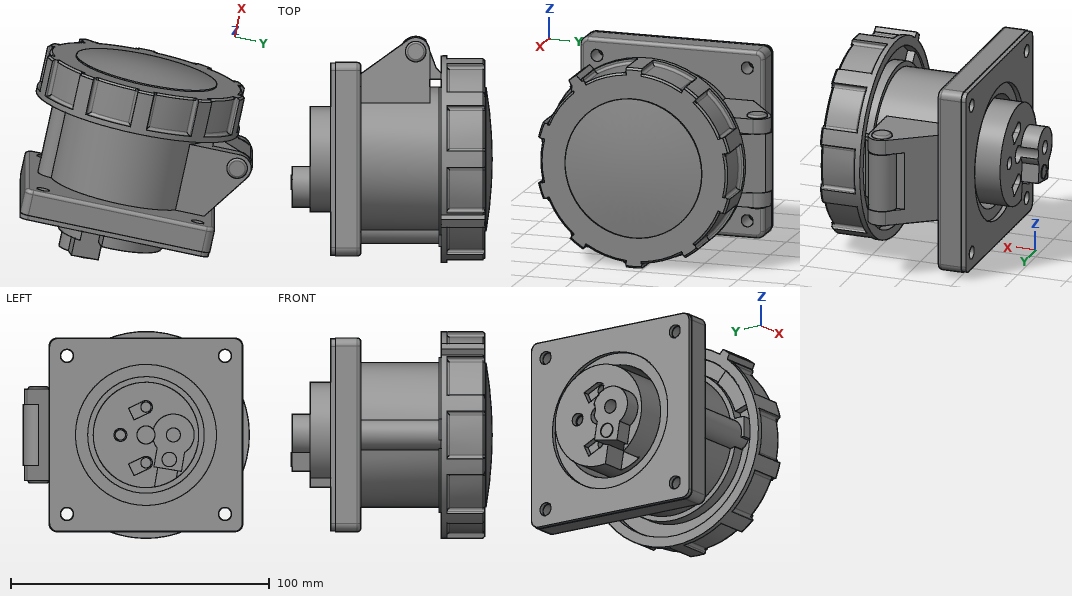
import cadquery as cq
import math


gasket_side = 74.3
gasket_thickness = 1.8
gasket_corner_radius = 3.0
gasket_opening_diameter = 54.5
gasket_hole_diameter = 5.2

flange_side = 74.9
flange_corner_radius = 3.15
flange_front_x = 11.7
flange_edge_radius = 1.5
screw_offset = 30.5
screw_hole_diameter = 4.8

barrel_radius = 28.0
barrel_end_x = 56.0
bore_diameter = 45.0
bore_floor_x = 41.8
collar_x = 41.8
collar_radius = 30.0
collar_notch_z = (-5.3, -2.0)
key_diameter = 11.7
key_reach = 32.6
stop_reach = 33.8
stop_top_z = 6.1

pin_x = 32.9
pin_y = 41.5
pin_diameter = 8.0
pin_head_height = 1.0
pin_edge_radius = 0.9
bracket_half_width = 17.7
bracket_end_radius = 5.4
bracket_slope_start_y = 33.1
knuckle_radius = 5.95
knuckle_half_width = 11.7
knuckle_end_angle = 50.0
arm_bottom_y = 30.8
arm_bend = (40.8, 35.3)
arm_root = (42.7, 33.2)

cap_start_x = 42.7
cap_end_x = 59.6
cap_radius = 40.0
cap_edge_chamfer = 0.8
cap_recess_radius = 36.0
cap_floor_x = 46.7
dome_radius = 55.5 / 2
dome_rim_height = 0.5
dome_top_x = 62.45
grip_count = 10
grip_start_x = 44.9
grip_depth = 2.0
grip_fillet = 1.1
grip_angle = 26.8
lug_start_x = 43.5
lug_start_angle = 18.5
lug_end_angle = 48.0
fin_angle = 54.0
fin_tip_radius = 42.2
fin_tip_width = 3.7
fin_base_width = 5.25

insert_diameter = 40.8
insert_back_x = -7.9
centre_hole_diameter = 7.0
contact_hole_diameter = 4.0
contact_slot_width = 5.0
contact_slot_depth = 2.6
contact_hole_depth = 13.1
side_contact_y = 9.9
line_contact_z = 10.8
line_slot_length = 6.3
line_slot_angle = 25.5
earth_y = -10.6
earth_boss_radius = 8.05
earth_back_x = -14.9
earth_hole_diameter = 5.4
earth_leg_width = 10.8
earth_leg_length = 13.4
earth_tilt = 9.5
earth_mark_distance = 9.6
earth_mark_diameter = 5.6
earth_mark_height = 0.35
wire_channel_width = 7.8
wire_channel_depth = 10.5


def cylinder(x_start, x_end, radius, y=0.0, z=0.0):
    """Cylinder along X."""
    return cq.Workplane("YZ", origin=(x_start, y, z)).circle(radius).extrude(x_end - x_start)


def box(x_range, y_range, z_range):
    """Box between two limits on each axis."""
    sizes = [high - low for low, high in (x_range, y_range, z_range)]
    corner = (x_range[0], y_range[0], z_range[0])
    return cq.Workplane("XY").box(*sizes, centered=False).translate(corner)


def square_plate(x_start, x_end, side, corner_radius):
    """Square plate across X with rounded corners."""
    plate = cq.Workplane("YZ", origin=(x_start, 0, 0)).rect(side, side).extrude(x_end - x_start)
    return plate.edges("|X").fillet(corner_radius)


def screw_holes(diameter):
    """Four cylinders at the flange corners."""
    spacing = 2 * screw_offset
    plane = cq.Workplane("YZ").rect(spacing, spacing, forConstruction=True).vertices()
    return plane.circle(diameter / 2).extrude(flange_front_x)


def turn_from_minus_y(shape, angle):
    """Turn a shape about the socket axis, from -Y toward +Z."""
    return shape.rotate((0, 0, 0), (1, 0, 0), -angle)


def ring_sector(x_start, x_end, inner_radius, outer_radius, angle):
    """Sector of a ring about X, centred on -Y."""
    profile = cq.Workplane("XY").moveTo(x_start, -outer_radius).lineTo(x_end, -outer_radius)
    profile = profile.lineTo(x_end, -inner_radius).lineTo(x_start, -inner_radius).close()
    sector = profile.revolve(angle, (0, 0, 0), (1, 0, 0))
    return sector.rotate((0, 0, 0), (1, 0, 0), -angle / 2)


def hinge_prism(profile, half_width):
    """Extrude a closed XY profile equally to both sides of z = 0."""
    return profile.extrude(half_width, both=True)


def make_gasket():
    gasket = square_plate(0, gasket_thickness, gasket_side, gasket_corner_radius)
    gasket = gasket.cut(cylinder(0, gasket_thickness, gasket_opening_diameter / 2))
    return gasket.cut(screw_holes(gasket_hole_diameter))


def hinge_arm():
    """Knuckle around the pin and the arm that joins it to the cap."""
    arm_end_x = cap_floor_x + 0.9
    back_x = pin_x - knuckle_radius
    end_angle = math.radians(knuckle_end_angle)
    knuckle_end = (
        pin_x + knuckle_radius * math.cos(end_angle),
        pin_y + knuckle_radius * math.sin(end_angle),
    )
    profile = cq.Workplane("XY").polyline([
        (back_x, pin_y),
        (back_x, arm_bottom_y),
        (arm_end_x, arm_bottom_y),
        (arm_end_x, arm_root[1]),
        arm_root,
        arm_bend,
        knuckle_end,
    ])
    profile = profile.threePointArc((pin_x, pin_y + knuckle_radius), (back_x, pin_y)).close()
    return hinge_prism(profile, knuckle_half_width)


def hinge_pin():
    """Pin along Z with rounded ends."""
    half_length = bracket_half_width + pin_head_height
    pin = hinge_prism(cq.Workplane("XY").center(pin_x, pin_y).circle(pin_diameter / 2), half_length)
    return pin.faces("|Z").edges().fillet(pin_edge_radius)


def hinge_bracket():
    """Sloped block beside the barrel with a pocket for the knuckle and a hole for the pin."""
    run = pin_x - flange_front_x
    rise = pin_y - bracket_slope_start_y
    slope = math.atan2(rise, run) + math.asin(bracket_end_radius / math.hypot(run, rise))
    tangent = (
        pin_x - bracket_end_radius * math.sin(slope),
        pin_y + bracket_end_radius * math.cos(slope),
    )
    end_x = pin_x + bracket_end_radius
    profile = cq.Workplane("XY").moveTo(flange_front_x, 0).lineTo(flange_front_x, bracket_slope_start_y)
    profile = profile.lineTo(*tangent)
    profile = profile.radiusArc((end_x, pin_y), bracket_end_radius).lineTo(end_x, 0).close()
    bracket = hinge_prism(profile, bracket_half_width)
    width = (-knuckle_half_width, knuckle_half_width)
    top_y = pin_y + knuckle_radius
    bracket = bracket.cut(box((flange_front_x, end_x), (pin_y, top_y), width))
    bracket = bracket.cut(box((pin_x - knuckle_radius, end_x), (arm_bottom_y, pin_y), width))
    return bracket.cut(hinge_pin())


def collar():
    """Raised band inside the cap, open under the hinge arm and at a notch over the key, with a stop block."""
    band = cylinder(collar_x, barrel_end_x, collar_radius)
    x_range = (collar_x, barrel_end_x)
    band = band.cut(box(x_range, (0, collar_radius), (-knuckle_half_width, knuckle_half_width)))
    band = band.cut(box(x_range, (-collar_radius, 0), collar_notch_z))
    return band.union(box((collar_x, cap_floor_x), (-stop_reach, 0), (collar_notch_z[1], stop_top_z)))


def make_housing():
    flange = square_plate(gasket_thickness, flange_front_x, flange_side, flange_corner_radius)
    flange = flange.faces(">X").edges().fillet(flange_edge_radius)
    key_radius = key_diameter / 2
    housing = flange.union(collar())
    housing = housing.union(cylinder(gasket_thickness, barrel_end_x, barrel_radius))
    housing = housing.union(cylinder(gasket_thickness, cap_floor_x, key_radius, y=key_radius - key_reach))
    housing = housing.union(hinge_bracket())
    housing = housing.cut(cylinder(gasket_thickness, bore_floor_x, bore_diameter / 2))
    return housing.cut(screw_holes(screw_hole_diameter))


def grip_recess():
    """Cutter for one finger recess, centred on -Y, with rounded floor edges and a sloped end."""
    floor_radius = cap_radius - grip_depth
    outer_radius = cap_radius + grip_depth
    cutter = ring_sector(grip_start_x, cap_end_x, floor_radius, outer_radius, grip_angle)
    cutter = cutter.faces(">Y").edges("not >X").fillet(grip_fillet)
    slope_start = (cap_end_x - cap_edge_chamfer, -floor_radius)
    slope = cq.Workplane("XY").polyline([
        slope_start,
        (cap_end_x, -floor_radius),
        (cap_end_x, cap_edge_chamfer - floor_radius),
    ]).close().revolve(grip_angle, (0, 0, 0), (1, 0, 0)).rotate((0, 0, 0), (1, 0, 0), -grip_angle / 2)
    return cutter.union(slope)


def cap_fin():
    """Tapered rib along the rim."""
    root_radius = cap_radius - grip_depth
    profile = cq.Workplane("YZ", origin=(cap_start_x, 0, 0)).polyline([
        (-root_radius, -fin_base_width / 2),
        (-fin_tip_radius, -fin_tip_width / 2),
        (-fin_tip_radius, fin_tip_width / 2),
        (-root_radius, fin_base_width / 2),
    ]).close()
    return turn_from_minus_y(profile.extrude(cap_end_x - cap_start_x), fin_angle)


def cap_dome():
    """Shallow spherical dome on the end face."""
    rim_x = cap_end_x + dome_rim_height
    profile = cq.Workplane("XY").moveTo(cap_end_x, 0).lineTo(cap_end_x, dome_radius).lineTo(rim_x, dome_radius)
    rise = dome_top_x - rim_x
    sphere_radius = (dome_radius**2 + rise**2) / (2 * rise)
    profile = profile.radiusArc((dome_top_x, 0), sphere_radius).close()
    return profile.revolve(360, (0, 0, 0), (1, 0, 0))


def cap_lug():
    """Bayonet lug that fills part of the recess around the collar."""
    angle = lug_end_angle - lug_start_angle
    lug = ring_sector(lug_start_x, cap_floor_x, collar_radius, cap_recess_radius, angle)
    return turn_from_minus_y(lug, lug_start_angle + angle / 2)


def make_cap():
    """Cap with its hinge arm and pin."""
    cap = cylinder(cap_start_x, cap_end_x, cap_radius).faces(">X").edges().chamfer(cap_edge_chamfer)
    for index in range(grip_count):
        cap = cap.cut(turn_from_minus_y(grip_recess(), index * 360 / grip_count))
    cap = cap.union(cap_fin()).union(cap_dome())
    cap = cap.cut(cylinder(cap_start_x, cap_floor_x, cap_recess_radius))
    cap = cap.cut(cylinder(cap_start_x, barrel_end_x, collar_radius))
    return cap.union(cap_lug()).union(hinge_arm()).union(hinge_pin())


def contact_hole(y, z, slot_length):
    """Contact hole with a wider mouth, drawn out into a slot when slot_length is not zero."""
    mouth_end_x = insert_back_x + contact_slot_depth
    hole = cylinder(insert_back_x, insert_back_x + contact_hole_depth, contact_hole_diameter / 2, y, z)
    hole = hole.union(cylinder(insert_back_x, mouth_end_x, contact_slot_width / 2, y, z))
    if slot_length:
        half_width = contact_slot_width / 2
        slot = box((insert_back_x, mouth_end_x), (0, slot_length), (-half_width, half_width))
        slot = slot.rotate((0, 0, 0), (1, 0, 0), -line_slot_angle)
        hole = hole.union(slot.translate((0, y, z)))
    return hole


def along_earth_leg(shape):
    """Turn a shape that points to -Z into the direction of the earth terminal and move it there."""
    return shape.rotate((0, 0, 0), (1, 0, 0), earth_tilt).translate((0, earth_y, 0))


def earth_terminal():
    """Raised boss with a tilted leg and a round mark on it."""
    half_width = earth_leg_width / 2
    leg = box((earth_back_x, insert_back_x), (-half_width, half_width), (-earth_leg_length, 0))
    mark_back_x = earth_back_x - earth_mark_height
    mark = cylinder(mark_back_x, earth_back_x, earth_mark_diameter / 2, z=-earth_mark_distance)
    boss = cylinder(earth_back_x, insert_back_x, earth_boss_radius, y=earth_y)
    return boss.union(along_earth_leg(leg)).union(along_earth_leg(mark))


def wire_channel():
    """Open channel from the end of the earth leg to the side of the insert."""
    half_width = wire_channel_width / 2
    x_range = (insert_back_x, insert_back_x + wire_channel_depth)
    return along_earth_leg(box(x_range, (-half_width, half_width), (-insert_diameter, -earth_leg_length)))


def make_insert():
    insert = cylinder(insert_back_x, bore_floor_x, insert_diameter / 2).cut(wire_channel())
    insert = insert.union(earth_terminal())
    hole_end_x = insert_back_x + contact_hole_depth
    insert = insert.cut(cylinder(earth_back_x, hole_end_x, centre_hole_diameter / 2))
    insert = insert.cut(cylinder(earth_back_x, hole_end_x, earth_hole_diameter / 2, y=earth_y))
    insert = insert.cut(contact_hole(side_contact_y, 0, 0))
    for z in (line_contact_z, -line_contact_z):
        insert = insert.cut(contact_hole(0, z, line_slot_length))
    return insert


gasket = make_gasket()
housing = make_housing()
contact_insert = make_insert()
cap = make_cap()

result = cq.Compound.makeCompound([gasket.val(), housing.val(), contact_insert.val(), cap.val()])